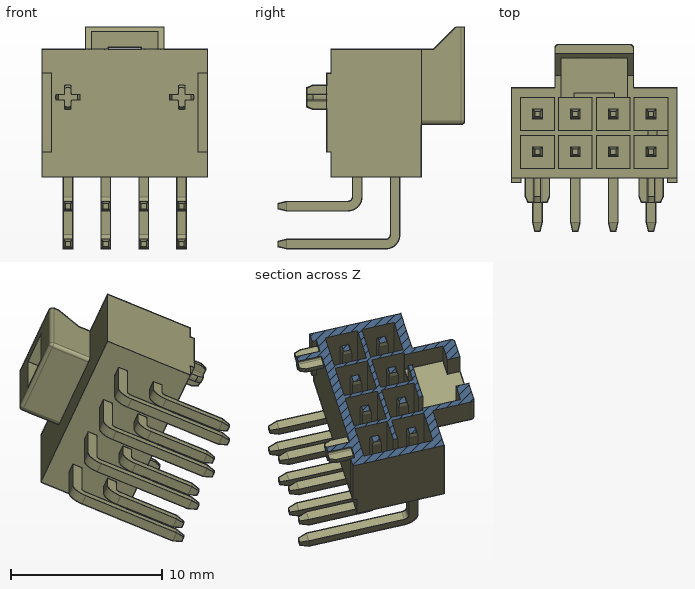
import cadquery as cq
import math


body_width = 10.94
body_depth = 5.97
body_height = 8.45

pitch = 2.5
columns = 4
rows = 2
cell_width = 2.22
cell_depth_y = 2.18
cell_floor_z = 1.5
column_x = [(i - (columns - 1) / 2) * pitch for i in range(columns)]
row_y = [body_depth / 2 + (j - (rows - 1) / 2) * pitch for j in range(rows)]
cell_back_y = row_y[-1] + cell_depth_y / 2

tab_width = 5.2
tab_projection = 2.86
tab_back_y = body_depth + tab_projection
tab_top_z = body_height + 1.47
tab_bottom_z = body_height - 4.99
tab_flat_depth = 0.59
tab_fillet = 0.25
tab_side_wall = 0.41
tab_back_wall = 0.885
tab_floor = 0.5
pocket_width = tab_width - 2 * tab_side_wall
pocket_floor_z = tab_bottom_z + tab_floor
window_width = 2.15
window_top_z = body_height + 0.12
screen_width = 2.65
screen_thickness = 0.3

gap_start_x = 4.14
gap_chamfer = 0.59
gap_end_x = column_x[-1] + cell_width / 2
row_wall = pitch - cell_depth_y

rail_width = 0.65
rail_projection = 0.29
rail_top_z = body_height - 1.58
rail_length = 5.22

peg_x = 1.5 * pitch
peg_z = body_height - 3.18
peg_diameter = 1.62
peg_length = 1.6
peg_upright_thickness = 0.43
peg_crossbar_thickness = 0.37
peg_corner_fillet = 0.08
peg_taper_length = 0.4
peg_taper_inset = 0.17

pin_size = 0.64
pin_tip_size = 0.35
pin_taper_length = 0.59
pin_inner_radius = 0.3
pin_outer_radius = pin_inner_radius + pin_size
pin_tip_y = -3.51
pin_top_z = body_height - 2.5
lowest_tail_z = -4.74


def block(x_range, y_range, z_range):
    """Axis-aligned box between the given limits."""
    return (
        cq.Workplane("XY")
        .box(
            x_range[1] - x_range[0],
            y_range[1] - y_range[0],
            z_range[1] - z_range[0],
            centered=False,
        )
        .translate((x_range[0], y_range[0], z_range[0]))
    )


def centred_span(width, middle=0):
    """Limits of an interval of the given width about its middle."""
    return (middle - width / 2, middle + width / 2)


def make_tab():
    """Latch block behind the housing, with rounded outer edges and a 45 degree top slope."""
    tab = block(centred_span(tab_width), (body_depth, tab_back_y), (tab_bottom_z, tab_top_z))
    tab = tab.edges("(|Z and >Y) or (<Z and (not <Y))").fillet(tab_fillet)
    slope_run = tab_top_z - body_height
    slope_top_y = tab_back_y - tab_flat_depth
    relief = (
        cq.Workplane("YZ")
        .moveTo(slope_top_y, tab_top_z)
        .lineTo(slope_top_y - slope_run, body_height)
        .lineTo(body_depth, body_height)
        .lineTo(body_depth, tab_top_z)
        .close()
        .extrude(tab_width, both=True)
    )
    return tab.cut(relief)


def cut_cells(housing):
    """Open one rectangular cell at the top of the housing for every contact."""
    for x in column_x:
        for y in row_y:
            cell = block(
                centred_span(cell_width, x),
                centred_span(cell_depth_y, y),
                (cell_floor_z, body_height),
            )
            housing = housing.cut(cell)
    return housing


def cut_latch_pocket(housing):
    """Open the tab towards the middle cells, leaving a thin screen, and cut the rear window."""
    pocket_back_y = tab_back_y - tab_back_wall
    pocket = block(centred_span(pocket_width), (cell_back_y, pocket_back_y), (pocket_floor_z, tab_top_z))
    screen = block(
        centred_span(screen_width),
        (cell_back_y, cell_back_y + screen_thickness),
        (pocket_floor_z, body_height),
    )
    window = block(
        centred_span(window_width),
        (pocket_back_y, tab_back_y),
        (pocket_floor_z, window_top_z),
    )
    return housing.cut(pocket.cut(screen)).cut(window)


def cut_row_wall_gap(housing):
    """Gap with a chamfered lead-in between the two cells of the last column."""
    middle_y = body_depth / 2
    gap = (
        cq.Workplane("XZ", origin=(0, middle_y, 0))
        .moveTo(gap_start_x, pocket_floor_z)
        .lineTo(gap_start_x, body_height - gap_chamfer)
        .lineTo(gap_start_x - gap_chamfer, body_height)
        .lineTo(gap_end_x, body_height)
        .lineTo(gap_end_x, pocket_floor_z)
        .close()
        .extrude(row_wall / 2, both=True)
    )
    return housing.cut(gap)


def make_rail(side):
    """Standoff rail flush with one end of the housing; side is -1 or 1."""
    outer_x = side * body_width / 2
    inner_x = outer_x - side * rail_width
    return block(
        sorted((outer_x, inner_x)),
        (-rail_projection, 0),
        (rail_top_z - rail_length, rail_top_z),
    )


def make_peg(x):
    """Cross-shaped peg with rounded arm ends and a conical tip, pointing towards -Y."""
    plane = cq.Workplane("XZ", origin=(x, 0, peg_z))
    upright = plane.rect(peg_upright_thickness, peg_diameter).extrude(peg_length)
    crossbar = plane.rect(peg_diameter, peg_crossbar_thickness).extrude(peg_length)
    core_reach = peg_diameter / 4
    inner_corners = cq.selectors.BoxSelector(
        (x - core_reach, -peg_length, peg_z - core_reach),
        (x + core_reach, 0, peg_z + core_reach),
    )
    cross = upright.union(crossbar).edges("|Y").edges(inner_corners).fillet(peg_corner_fillet)
    envelope = (
        plane.circle(peg_diameter / 2)
        .extrude(peg_length)
        .faces("<Y")
        .edges()
        .chamfer(peg_taper_length, peg_taper_inset)
    )
    return cross.intersect(envelope)


def make_tip(plane):
    """Square taper from the full pin section down to the tip, along the plane normal."""
    return (
        plane.rect(pin_size, pin_size)
        .workplane(offset=pin_taper_length)
        .rect(pin_tip_size, pin_tip_size)
        .loft(combine=True)
    )


def make_pin(x, y, tail_bottom_z):
    """Square pin: upright in the cell, bent through 90 degrees to a tail along -Y."""
    half = pin_size / 2
    back_y = y + half
    front_y = y - half
    tail_top_z = tail_bottom_z + pin_size
    shoulder_z = pin_top_z - pin_taper_length
    shoulder_y = pin_tip_y + pin_taper_length
    bend_y = front_y - pin_inner_radius
    bend_z = tail_top_z + pin_inner_radius
    diagonal = math.sqrt(0.5)
    outer_mid = pin_outer_radius * diagonal
    inner_mid = pin_inner_radius * diagonal
    shank = (
        cq.Workplane("YZ", origin=(x, 0, 0))
        .moveTo(back_y, shoulder_z)
        .lineTo(back_y, bend_z)
        .threePointArc((bend_y + outer_mid, bend_z - outer_mid), (bend_y, tail_bottom_z))
        .lineTo(shoulder_y, tail_bottom_z)
        .lineTo(shoulder_y, tail_top_z)
        .lineTo(bend_y, tail_top_z)
        .threePointArc((bend_y + inner_mid, bend_z - inner_mid), (front_y, bend_z))
        .lineTo(front_y, shoulder_z)
        .close()
        .extrude(half, both=True)
    )
    top_tip = make_tip(cq.Workplane("XY", origin=(x, y, shoulder_z)))
    tail_tip = make_tip(cq.Workplane("XZ", origin=(x, shoulder_y, tail_bottom_z + half)))
    return shank.union(top_tip).union(tail_tip)


housing = block(centred_span(body_width), (0, body_depth), (0, body_height)).union(make_tab())
housing = cut_cells(housing)
housing = cut_latch_pocket(housing)
housing = cut_row_wall_gap(housing)

for side in (-1, 1):
    housing = housing.union(make_rail(side))
    housing = housing.union(make_peg(side * peg_x))

for x in column_x:
    for row, y in enumerate(row_y):
        tail_bottom_z = lowest_tail_z + (rows - 1 - row) * pitch
        housing = housing.union(make_pin(x, y, tail_bottom_z))

result = housing